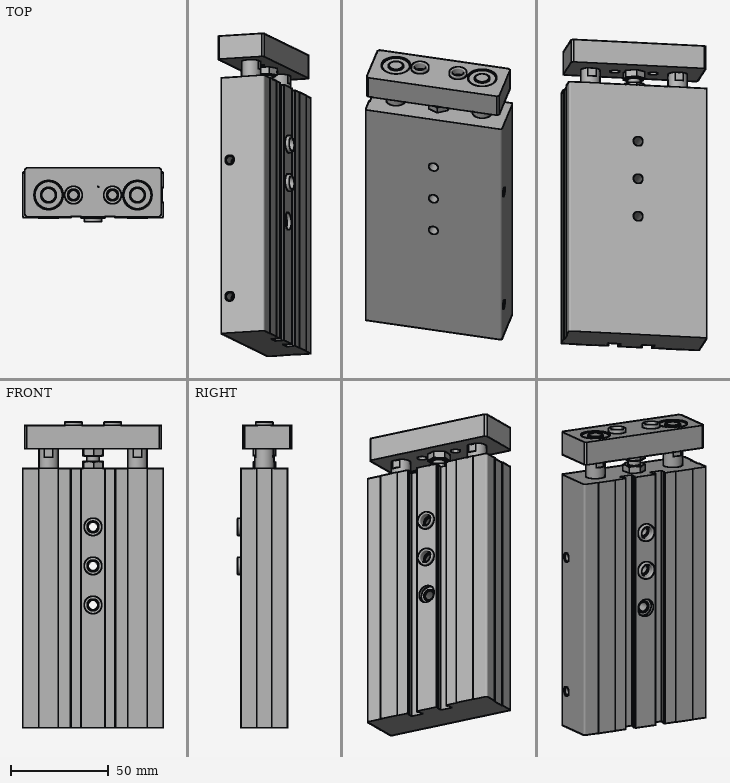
import cadquery as cq
import math


housing_width = 72.0
housing_depth = 24.0
housing_height = 133.0
housing_corner_radius = 1.0
front_y = -housing_depth / 2
left_x = -housing_width / 2

relief_depth = 0.25
land_width = 10.0
centre_land_width = 12.4
side_groove_width = 7.5
side_groove_depth = 0.5

slot_offset = 8.75
slot_opening = 5.0
slot_inner_width = 6.5
slot_lip = 1.7
slot_depth = 5.0
slot_chamfer = 0.35

port_thread_dia = 5.0
port_bore_dia = 4.13
port_depth = 8.0
port_y = 7.0
port_heights = (19.0, 90.0)
drill_point_angle = 118.0

yoke_width = 70.0
yoke_depth = 25.0
yoke_thickness = 12.0
yoke_corner_bevel = 1.0
yoke_centre_y = 1.5
yoke_gap = 10.0
yoke_bottom = housing_height + yoke_gap
yoke_top = yoke_bottom + yoke_thickness

rod_offset = 22.75
rod_dia = 10.0
rod_tip_dia = 8.0
rod_tip_chamfer = 0.5
rod_flats = 9.0
rod_flat_height = 4.25
piston_dia = 20.0
piston_bottom = 17.8
piston_length = 20.0
rod_recess_dia = 15.0
rod_recess_floor_dia = 14.0
rod_recess_depth = 0.5

stud_dia = 6.5
nut_across_flats = 10.0
nut_height = 3.5
nut_turn = 4.5
nut_face_dia = 8.88
nut_face_height = 0.4
nut_bevel_angle = 30.0

sleeve_dia = 9.0
sleeve_bore_dia = 6.0
sleeve_length = 4.0
sleeve_protrusion = 1.8
sleeve_seat_depth = sleeve_length - sleeve_protrusion
thread_dia = 6.0
thread_bore_dia = 4.92
thread_chamfer = (thread_dia - thread_bore_dia) / 2
yoke_sleeve_offset = 10.0
mount_hole_heights = tuple(housing_height - drop for drop in (30.0, 50.0, 70.0))
sleeved_heights = mount_hole_heights[:2]


def cylinder(base, axis, diameter, length):
    return cq.Workplane(cq.Solid.makeCylinder(diameter / 2, length, cq.Vector(*base), cq.Vector(*axis)))


def cone(base, axis, base_dia, end_dia, length):
    return cq.Workplane(
        cq.Solid.makeCone(base_dia / 2, end_dia / 2, length, cq.Vector(*base), cq.Vector(*axis))
    )


def along(base, axis, distance):
    return tuple(start + step * distance for start, step in zip(base, axis))


def upright_block(x_range, y_range, height):
    """Vertical bar standing on Z = 0."""
    x0, x1 = x_range
    y0, y1 = y_range
    return cq.Workplane("XY").box(x1 - x0, y1 - y0, height, centered=False).translate((x0, y0, 0))


def sleeve_seat(base, axis, through_length):
    """Cutter: sleeve counterbore, countersunk thread and bore going inward along axis."""
    floor = along(base, axis, sleeve_seat_depth)
    return (
        cylinder(base, axis, sleeve_dia, sleeve_seat_depth)
        .union(cone(floor, axis, thread_dia, thread_bore_dia, thread_chamfer))
        .union(cylinder(base, axis, thread_bore_dia, through_length))
    )


def make_sleeve(base, axis):
    """Ring with a fully rounded crown, seated in a face at base, with axis pointing inward."""
    inner = sleeve_bore_dia / 2
    outer = sleeve_dia / 2
    crown_radius = (outer - inner) / 2
    start = along(base, axis, -sleeve_protrusion)
    across = (0, -axis[2], axis[1])
    section = (
        cq.Workplane(cq.Plane(start, (1, 0, 0), across))
        .moveTo(inner, sleeve_length)
        .lineTo(inner, crown_radius)
        .threePointArc((inner + crown_radius, 0), (outer, crown_radius))
        .lineTo(outer, sleeve_length)
        .close()
    )
    return section.revolve(360, (0, 0, 0), (0, 1, 0))


def make_piston_rod(x):
    """Piston and rod with wrench flats below the yoke and a thinner tip through it."""
    piston = cylinder((x, 0, piston_bottom), (0, 0, 1), piston_dia, piston_length)
    rod = cylinder((x, 0, piston_bottom), (0, 0, 1), rod_dia, yoke_bottom - piston_bottom)
    flat_depth = (rod_dia - rod_flats) / 2
    flat_middle = yoke_bottom - rod_flat_height / 2
    for side in (-1, 1):
        flat_y = side * (rod_flats + flat_depth) / 2
        flat = cq.Workplane("XY").box(rod_dia, flat_depth, rod_flat_height)
        rod = rod.cut(flat.translate((x, flat_y, flat_middle)))
    tip = cylinder((x, 0, yoke_bottom), (0, 0, 1), rod_tip_dia, yoke_thickness)
    tip = tip.faces(">Z").chamfer(rod_tip_chamfer)
    return piston.union(rod).union(tip)


def t_slot(x):
    """Cutter: front T-slot with bevelled lips, along the full housing height."""
    lip_face_y = front_y + relief_depth
    half_opening = slot_opening / 2
    half_inner = slot_inner_width / 2
    half_mouth = half_opening + slot_chamfer
    half_profile = [
        (half_mouth, front_y),
        (half_mouth, lip_face_y),
        (half_opening, lip_face_y + slot_chamfer),
        (half_opening, front_y + slot_lip),
        (half_inner, front_y + slot_lip),
        (half_inner, front_y + slot_depth),
    ]
    mirrored = [(-px, py) for px, py in reversed(half_profile)]
    profile = cq.Workplane("XY").polyline(half_profile + mirrored).close()
    return profile.extrude(housing_height).translate((x, 0, 0))


def port(z):
    """Cutter: drilled and bevelled air port entering the left side."""
    inward = (1, 0, 0)
    mouth = (left_x, port_y, z)
    point_length = port_bore_dia / 2 / math.tan(math.radians(drill_point_angle / 2))
    bevel = (port_thread_dia - port_bore_dia) / 2
    return (
        cylinder(mouth, inward, port_bore_dia, port_depth)
        .union(cone(along(mouth, inward, port_depth), inward, port_bore_dia, 0, point_length))
        .union(cone(mouth, inward, port_thread_dia, port_bore_dia, bevel))
    )


def make_housing(piston_rods):
    body = upright_block(
        (left_x, -left_x), (front_y + relief_depth, -front_y), housing_height
    )
    body = body.edges("|Z").fillet(housing_corner_radius)
    lands = ((-rod_offset, land_width), (0, centre_land_width), (rod_offset, land_width))
    for x, width in lands:
        land = upright_block((x - width / 2, x + width / 2), (front_y, 0), housing_height)
        body = body.union(land)
    groove_half = side_groove_width / 2
    body = body.cut(
        upright_block((-left_x - side_groove_depth, -left_x), (-groove_half, groove_half), housing_height)
    )
    for side in (-1, 1):
        body = body.cut(t_slot(side * slot_offset))
    for z in mount_hole_heights:
        body = body.cut(sleeve_seat((0, front_y, z), (0, 1, 0), housing_depth))
    for z in port_heights:
        body = body.cut(port(z))
    for rod in piston_rods:
        body = body.cut(rod)
    return body


def nut_blank(bottom):
    across_corners = nut_across_flats / math.cos(math.pi / 6)
    blank = cq.Workplane("XY").polygon(6, across_corners).extrude(nut_height)
    return blank.rotate((0, 0, 0), (0, 0, 1), 90 + nut_turn).translate((0, 0, bottom))


def bevelled_nut(bottom):
    """Hexagon nut whose upper corners are turned off by a cone."""
    nut = nut_blank(bottom)
    radius = nut_across_flats / math.cos(math.pi / 6) / 2
    top_radius = nut_across_flats / 2
    bevel_height = (radius - top_radius) * math.tan(math.radians(nut_bevel_angle))
    straight = cylinder((0, 0, bottom), (0, 0, 1), 2 * radius, nut_height - bevel_height)
    bevel_base = (0, 0, bottom + nut_height - bevel_height)
    envelope = straight.union(cone(bevel_base, (0, 0, 1), 2 * radius, 2 * top_radius, bevel_height))
    return nut.intersect(envelope)


def make_stop_stud():
    """Stud joining the yoke to the lower nut, which rests on the housing."""
    upper_nut_bottom = yoke_bottom - nut_height
    stud = cylinder((0, 0, housing_height), (0, 0, 1), stud_dia, yoke_gap)
    nut_face = cylinder((0, 0, upper_nut_bottom), (0, 0, -1), nut_face_dia, nut_face_height)
    return (
        stud.union(bevelled_nut(housing_height)).union(nut_blank(upper_nut_bottom)).union(nut_face)
    )


def make_yoke(piston_rods):
    plate = cq.Workplane("XY").box(yoke_width, yoke_depth, yoke_thickness, centered=(True, True, False))
    plate = plate.edges("|Z").chamfer(yoke_corner_bevel).translate((0, yoke_centre_y, yoke_bottom))
    for side in (-1, 1):
        rod_mouth = (side * rod_offset, 0, yoke_top)
        recess = cone(rod_mouth, (0, 0, -1), rod_recess_dia, rod_recess_floor_dia, rod_recess_depth)
        seat = sleeve_seat((side * yoke_sleeve_offset, 0, yoke_top), (0, 0, -1), yoke_thickness)
        plate = plate.cut(recess).cut(seat)
    for rod in piston_rods:
        plate = plate.cut(rod)
    return plate.union(make_stop_stud())


piston_rods = [make_piston_rod(side * rod_offset) for side in (-1, 1)]
housing = make_housing(piston_rods)
yoke = make_yoke(piston_rods)
housing_sleeves = [make_sleeve((0, front_y, z), (0, 1, 0)) for z in sleeved_heights]
yoke_sleeves = [
    make_sleeve((side * yoke_sleeve_offset, 0, yoke_top), (0, 0, -1)) for side in (-1, 1)
]

bodies = [housing, yoke, *piston_rods, *housing_sleeves, *yoke_sleeves]
result = cq.Compound.makeCompound([body.val() for body in bodies])